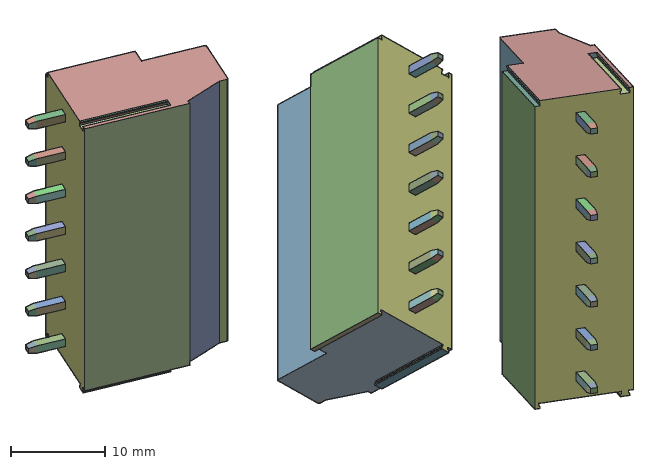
import cadquery as cq

WIDTH = 11.2
LENGTH = 21.6
HEIGHT = 35.65

BASE_DEPTH = 10.0
SHELF_DEPTH = 12.0
BACK_STEP = 2.4
SHELF_WIDTH = 0.45
NOSE_INSET = 2.42
NOSE_LENGTH = 1.05
BACK_CHAMFER_X = 0.1
BACK_CHAMFER_Y = 0.18

JOINT_HEIGHT = 0.6
TONGUE_FOOT = 0.18
JOINT_SHOULDER = 0.25
JOINT_OVERHANG = 0.15
MOUTH_FLARE = 0.1
EDGE_NECK = 0.45
RAIL_CENTER = 10.23
RAIL_NECK = 0.8

PIN_COUNT = 7
PIN_X = 5.17
PIN_SIZE = 1.0
PIN_LENGTH = 4.2
PIN_TIP_LENGTH = 0.93
PIN_TIP_WIDTH = 0.8
PIN_TIP_HEIGHT = 0.6

BODY_HEIGHT = HEIGHT - JOINT_HEIGHT
PIN_PITCH = BODY_HEIGHT / PIN_COUNT
FIRST_PIN_Z = JOINT_HEIGHT + PIN_PITCH / 2


def make_housing():
    """Constant outline raised along Z; the front face lies at the pin roots."""
    front = PIN_LENGTH
    nose_x = WIDTH - NOSE_INSET
    outline = [
        (0, front),
        (WIDTH, front),
        (WIDTH, front + SHELF_DEPTH),
        (WIDTH - SHELF_WIDTH, front + SHELF_DEPTH),
        (nose_x, LENGTH - NOSE_LENGTH),
        (nose_x, LENGTH - BACK_CHAMFER_Y),
        (nose_x - BACK_CHAMFER_X, LENGTH),
        (BACK_STEP + BACK_CHAMFER_X, LENGTH),
        (BACK_STEP, LENGTH - BACK_CHAMFER_Y),
        (BACK_STEP, front + BASE_DEPTH),
        (0, front + BASE_DEPTH),
    ]
    return cq.Workplane("XY").workplane(offset=JOINT_HEIGHT).polyline(outline).close().extrude(BODY_HEIGHT)


def make_joint_bars(profile):
    """Edge bar and rail, as deep as the base, from (overhang, z) points running foot to root."""
    foot_z = profile[0][1]
    root_z = profile[-1][1]
    edge = [(0, foot_z)] + [(EDGE_NECK + overhang, z) for overhang, z in profile] + [(0, root_z)]
    rail_right = [(RAIL_NECK / 2 + overhang, z) for overhang, z in profile]
    rail_left = [(-x, z) for x, z in reversed(rail_right)]
    rail = [(RAIL_CENTER + x, z) for x, z in rail_right + rail_left]
    plane = cq.Workplane("XZ", origin=(0, PIN_LENGTH, 0))
    edge_bar = plane.polyline(edge).close().extrude(-BASE_DEPTH)
    rail_bar = plane.polyline(rail).close().extrude(-BASE_DEPTH)
    return edge_bar.union(rail_bar)


def make_tongues():
    """Bars below the housing: wide foot, sloped shoulder, straight neck."""
    return make_joint_bars([
        (JOINT_OVERHANG, 0),
        (JOINT_OVERHANG, TONGUE_FOOT),
        (0, TONGUE_FOOT + JOINT_SHOULDER),
        (0, JOINT_HEIGHT),
    ])


def make_grooves():
    """Matching cutters in the top: wide floor, sloped shoulder, flared mouth."""
    floor_z = HEIGHT - JOINT_HEIGHT
    return make_joint_bars([
        (JOINT_OVERHANG, floor_z),
        (JOINT_OVERHANG, HEIGHT - MOUTH_FLARE - JOINT_SHOULDER),
        (0, HEIGHT - MOUTH_FLARE),
        (MOUTH_FLARE, HEIGHT),
    ])


def make_pin(z):
    """Square pin pointing toward -Y with a tapered tip."""
    root = cq.Workplane("XZ", origin=(PIN_X, PIN_LENGTH, z))
    shank = root.rect(PIN_SIZE, PIN_SIZE).extrude(PIN_LENGTH - PIN_TIP_LENGTH)
    tip = (
        cq.Workplane("XZ", origin=(PIN_X, PIN_TIP_LENGTH, z))
        .rect(PIN_SIZE, PIN_SIZE)
        .workplane(offset=PIN_TIP_LENGTH)
        .rect(PIN_TIP_WIDTH, PIN_TIP_HEIGHT)
        .loft()
    )
    return shank.union(tip)


result = make_housing().cut(make_grooves()).union(make_tongues())
for index in range(PIN_COUNT):
    result = result.union(make_pin(FIRST_PIN_Z + index * PIN_PITCH))